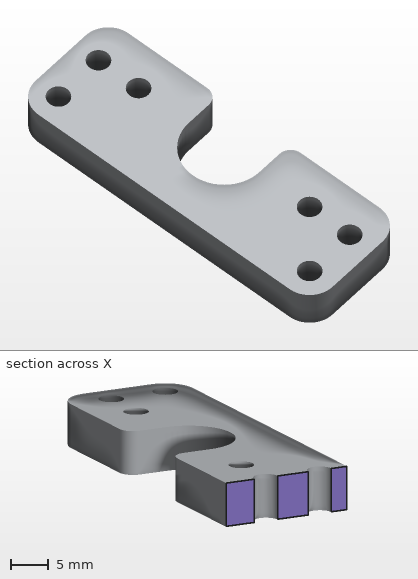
import cadquery as cq

length = 52
depth = 18.0
thickness = 6.0
corner_radius = 4.0

notch_radius = 6.2
notch_mouth_radius = 2.0

hole_diameter = 3.4
back_row_inset = 6.0
inner_hole_x = 15.0
outer_hole_x = length / 2 - corner_radius

back_y = depth / 2
back_row_y = back_y - back_row_inset
front_row_y = -back_y + corner_radius


def make_plate():
    """Flat plate with rounded vertical corners."""
    return cq.Workplane("XY").box(length, depth, thickness).edges("|Z").fillet(corner_radius)


def cut_notch(plate):
    """Cut the round-bottomed notch, centred on the back hole row, and round its mouth."""
    notch = (
        cq.Workplane("XY", origin=(0, 0, -thickness / 2))
        .moveTo(-notch_radius, back_y)
        .lineTo(-notch_radius, back_row_y)
        .threePointArc((0, back_row_y - notch_radius), (notch_radius, back_row_y))
        .lineTo(notch_radius, back_y)
        .close()
        .extrude(thickness)
    )
    mouth_edges = cq.selectors.BoxSelector(
        (-notch_radius - 0.5, back_y - 0.5, -thickness),
        (notch_radius + 0.5, back_y + 0.5, thickness),
    )
    return plate.cut(notch).edges("|Z").edges(mouth_edges).fillet(notch_mouth_radius)


def drill_holes(plate):
    """Drill two back-row holes and one front-row hole on each side."""
    hole_centers = []
    for side in (-1, 1):
        hole_centers.append((side * inner_hole_x, back_row_y))
        hole_centers.append((side * outer_hole_x, back_row_y))
        hole_centers.append((side * outer_hole_x, front_row_y))
    return plate.faces(">Z").workplane(origin=(0, 0, 0)).pushPoints(hole_centers).hole(hole_diameter)


result = drill_holes(cut_notch(make_plate()))